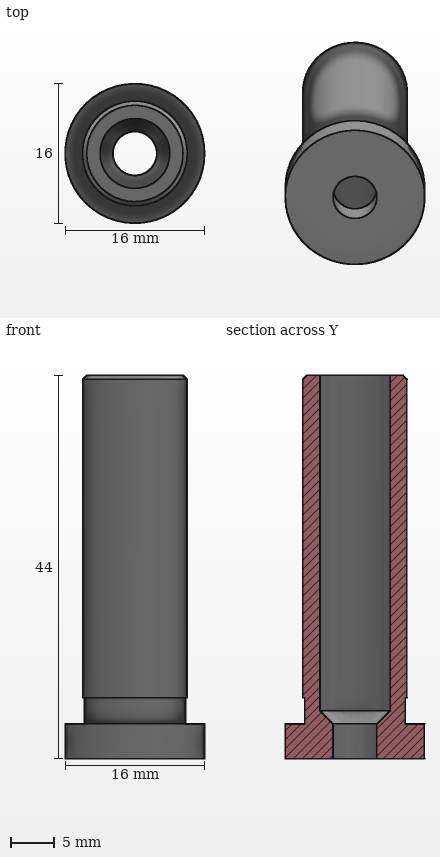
import cadquery as cq
import math

total_height = 44.0
head_diameter = 16.0
head_height = 4.0
neck_diameter = 11.6
neck_height = 3.0
body_diameter = 12.0

rim_chamfer_width = 0.5
rim_chamfer_height = 0.5

bore_diameter = 8.0
through_diameter = 5.0
step_cone_angle = 90.0

body_base = head_height + neck_height
step_height = (bore_diameter - through_diameter) / 2 / math.tan(math.radians(step_cone_angle / 2))
step_base = head_height


def revolve_about_z(points):
    """Revolve a closed outline of (radius, height) points about the Z axis."""
    return cq.Workplane("XZ").polyline(points).close().revolve(360, (0, 0, 0), (0, 1, 0))


profile = [
    (through_diameter / 2, 0),
    (head_diameter / 2, 0),
    (head_diameter / 2, head_height),
    (neck_diameter / 2, head_height),
    (neck_diameter / 2, body_base),
    (body_diameter / 2, body_base),
    (body_diameter / 2, total_height - rim_chamfer_height),
    (body_diameter / 2 - rim_chamfer_width, total_height),
    (bore_diameter / 2, total_height),
    (bore_diameter / 2, step_base + step_height),
    (through_diameter / 2, step_base),
]

result = revolve_about_z(profile)